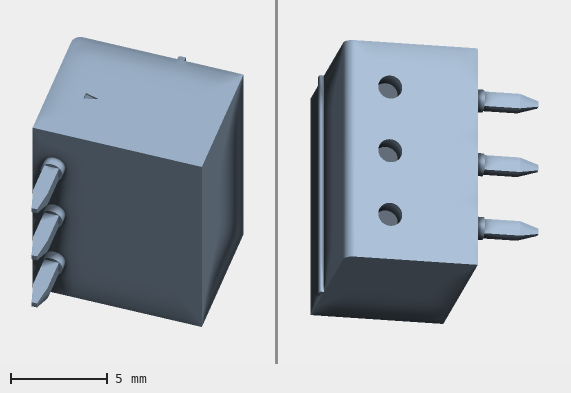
import cadquery as cq

width = 9.2
total_depth = 10.65
height = 11.9
corner_radius = 0.5

rib_height = 0.25
rib_width = 0.39
rib_left = 5.59
rib_radius = 0.12

pole_count = 3
pole_pitch = 3.5
pin_x = 1.19
pin_reach = 3.4
pin_side = 0.8
tip_side = 0.3
tip_length = 1.02
collar_diameter = 1.19
collar_length = 0.5

hole_diameter = 1.26
hole_depth = 1.19
hole_y = 4.62

arrow_left = 1.86
arrow_length = 0.75
arrow_width = 0.43
arrow_y = 3.01
arrow_depth = 0.1

body_depth = total_depth - rib_height - pin_reach
pole_heights = [(i - (pole_count - 1) / 2) * pole_pitch for i in range(pole_count)]


def make_housing():
    """Block with one rounded back corner and a rib over the full height."""
    block = cq.Workplane("XY").box(width, body_depth, height, centered=(False, False, True))
    block = block.edges("|Z and <X and >Y").fillet(corner_radius)
    rib = (
        cq.Workplane("XY")
        .box(rib_width, 2 * rib_height, height, centered=(False, False, True))
        .edges("|Z and <X and >Y")
        .fillet(rib_radius)
        .translate((rib_left, body_depth - rib_height, 0))
    )
    return block.union(rib)


def make_pin(z):
    """Round collar, square shank and tapered square tip."""
    face = cq.Workplane("XZ", origin=(pin_x, 0, z))
    collar = face.circle(collar_diameter / 2).extrude(collar_length)
    shank_length = pin_reach - tip_length
    shank = face.rect(pin_side, pin_side).extrude(shank_length)
    tip = (
        face.workplane(offset=shank_length)
        .rect(pin_side, pin_side)
        .workplane(offset=tip_length)
        .rect(tip_side, tip_side)
        .loft(ruled=True)
    )
    return collar.union(shank).union(tip)


def make_wire_hole(z):
    return cq.Workplane("YZ", origin=(0, hole_y, z)).circle(hole_diameter / 2).extrude(hole_depth)


def make_arrow():
    return (
        cq.Workplane("XY", origin=(arrow_left, arrow_y, height / 2))
        .moveTo(0, -arrow_width / 2)
        .lineTo(arrow_length, 0)
        .lineTo(0, arrow_width / 2)
        .close()
        .extrude(-arrow_depth)
    )


result = make_housing().cut(make_arrow())
for pole_z in pole_heights:
    result = result.union(make_pin(pole_z)).cut(make_wire_hole(pole_z))